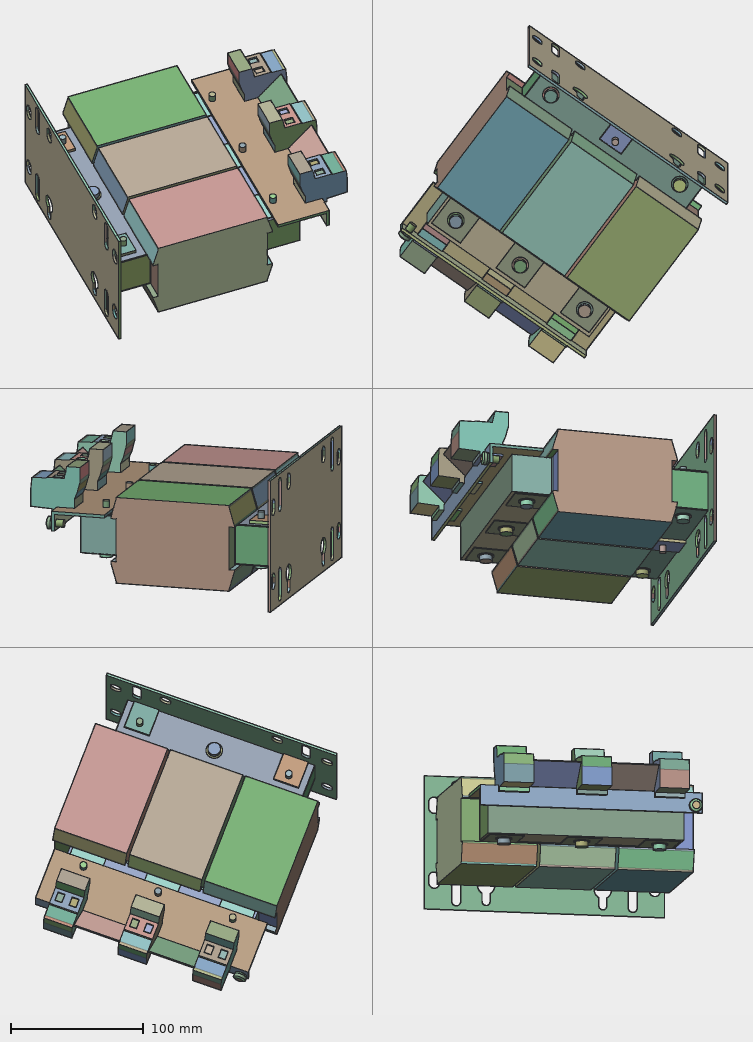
import cadquery as cq
import math


plate_length = 185.0
plate_height = 102.0
plate_thickness = 2.0

core_z = -4.5
yoke_length = 150.8
yoke_depth = 30.9
yoke_height = 29.9
rear_yoke_y = 124.0
phase_pitch = 60.0
phase_xs = (-phase_pitch, 0, phase_pitch)

insulation_thickness = 0.8
insulation_inset = 0.4
liner_thickness = 1.5
tongue_width = 26.8
tongue_end_y = 152.0

coil_width = 58.0
coil_pitch = 60.4
coil_front_y = 33.6
coil_rear_y = 122.7
coil_height = 66.6
flange_reach = 4.1
flange_clearance = 16.6
flange_lip = 1.4

tab_width = 20.1
tab_thickness = 2.3
tab_end_y = 23.5

bolt_front_y = 17.2
bolt_rear_y = 139.3
bolt_radius = 2.5
bolt_reach = 23.3
bolt_head_radius = 4.9
bolt_head_height = 4.0
bolt_washer_radius = 6.3
bolt_washer_thickness = 0.5

bracket_length = 171.2
bracket_thickness = 2.3
bracket_front_y = 133.0
bracket_rear_y = 174.9
bracket_lip_z = -1.8

terminal_width = 22.9
terminal_rear_y = 195.4
terminal_nose_y = 156.5
terminal_foot_y = 161.0
terminal_hook_y = 178.8
terminal_toe_y = 166.5
terminal_top_z = 45.5
terminal_ledge_z = 36.1
terminal_toe_z = 9.5
terminal_bottom_z = 8.8
pocket_offset = 5.7
pocket_width = 5.5
pocket_length = 6.8
pocket_y = 175.3
pocket_depth = 1.5

panel_front_y = 171.8
panel_rear_y = 191.5
panel_top_z = 31.3
panel_thickness = 1.2

earth_x = -80.0
earth_z = 3.3
earth_radius = 3.0
earth_tip_y = 166.5
earth_head_radius = 4.9
earth_washer_radius = 4.5
earth_washer_thickness = 1.4
earth_head_height = 2.5
earth_dome_height = 1.0
earth_dome_radius = 3.0

core_half = yoke_height / 2
insulated_half = core_half + insulation_thickness
insulated_top = core_z + insulated_half
bracket_top = insulated_top + bracket_thickness


def block(x_range, y_range, z_range):
    """Box from its limits along each axis."""
    (x0, x1), (y0, y1), (z0, z1) = x_range, y_range, z_range
    return cq.Workplane("XY").box(x1 - x0, y1 - y0, z1 - z0, centered=False).translate((x0, y0, z0))


def centred_block(x, width, y_range, z_range):
    """Box of the given width about x."""
    return block((x - width / 2, x + width / 2), y_range, z_range)


def extrude_along_x(profile, x, width):
    """Extrude a closed YZ profile symmetrically about x."""
    return profile.extrude(width / 2, both=True).translate((x, 0, 0))


def upright_cylinder(x, y, z_start, z_end, radius):
    return cq.Workplane("XY", origin=(x, y, z_start)).circle(radius).extrude(z_end - z_start)


def mounting_plate():
    plate = centred_block(0, plate_length, (0, plate_thickness), (-plate_height / 2, plate_height / 2))

    def upright_slots(centres, length, width):
        sketch = cq.Workplane("XZ").pushPoints(centres).slot2D(length, width, 90)
        return sketch.extrude(-plate_thickness)

    end_slot_x, end_slot_z = 85.0, 28.7
    long_slot_x, long_slot_z = 68.0, 34.8
    inner_x = 45.0
    inner_slot_z = 39.9
    keyhole_z = -31.5
    keyhole_radius = 6.6
    neck_width = 6.3
    neck_bottom_z = -46.7
    slot_length, slot_width = 12.5, 8.4
    long_slot_length, long_slot_width = 26.0, 7.0

    sides = (-1, 1)
    end_centres = [(i * end_slot_x, j * end_slot_z) for i in sides for j in sides]
    long_centres = [(i * long_slot_x, j * long_slot_z) for i in sides for j in sides]
    inner_centres = [(i * inner_x, inner_slot_z) for i in sides]
    keyhole_centres = [(i * inner_x, keyhole_z) for i in sides]
    neck_length = keyhole_z - neck_bottom_z
    neck_centres = [(i * inner_x, keyhole_z - neck_length / 2) for i in sides]

    plate = plate.cut(upright_slots(end_centres + inner_centres, slot_length, slot_width))
    plate = plate.cut(upright_slots(long_centres, long_slot_length, long_slot_width))
    plate = plate.cut(upright_slots(neck_centres, neck_length, neck_width))
    keyholes = cq.Workplane("XZ").pushPoints(keyhole_centres).circle(keyhole_radius)
    return plate.cut(keyholes.extrude(-plate_thickness))


def core():
    """Two yokes with their insulation; the core legs are inside the coils."""
    yoke_z = (core_z - core_half, core_z + core_half)
    insulation_z = (core_z - insulated_half, insulated_top)
    insulation_length = yoke_length - 2 * insulation_inset
    front_inner_y = plate_thickness + yoke_depth
    front_yoke = centred_block(0, yoke_length, (plate_thickness, front_inner_y), yoke_z)
    front_cover_y = (plate_thickness, front_inner_y + liner_thickness)
    front_cover = centred_block(0, insulation_length, front_cover_y, insulation_z)
    rear_yoke = centred_block(0, yoke_length, (rear_yoke_y, rear_yoke_y + yoke_depth), yoke_z)
    rear_liner_y = rear_yoke_y - liner_thickness
    rear_liner = centred_block(0, insulation_length, (rear_liner_y, rear_yoke_y), insulation_z)
    body = front_yoke.union(front_cover).union(rear_yoke).union(rear_liner)
    for x in phase_xs:
        body = body.union(centred_block(x, tongue_width, (rear_liner_y, tongue_end_y), insulation_z))
    return body


def coil(x):
    """Coil with flanges that lean outwards over the yokes, above and below the core."""
    half = coil_height / 2
    body = centred_block(x, coil_width, (coil_front_y, coil_rear_y), (core_z - half, core_z + half))
    front_tip = coil_front_y - flange_reach
    rear_tip = coil_rear_y + flange_reach
    for side in (-1, 1):
        edge_z = core_z + side * half
        lip_z = edge_z - side * flange_lip
        under_z = core_z + side * flange_clearance
        tip_z = under_z + side * flange_lip
        outline = [
            (coil_front_y, edge_z), (coil_front_y, lip_z), (front_tip, tip_z), (front_tip, under_z),
            (rear_tip, under_z), (rear_tip, tip_z), (coil_rear_y, lip_z), (coil_rear_y, edge_z),
        ]
        body = body.union(extrude_along_x(cq.Workplane("YZ").polyline(outline).close(), x, coil_width))
    return body


def fixing_tab(x, side):
    """Tab from the mounting plate along the top (side = 1) or bottom (side = -1) of the front yoke."""
    near = core_z + side * insulated_half
    far = near + side * tab_thickness
    return centred_block(x, tab_width, (0, tab_end_y), (min(near, far), max(near, far)))


def core_bolt(x, y, side):
    """Bolt through a yoke: its tip is above for side = 1 and below for side = -1."""
    seat = core_z - side * insulated_half
    washer_face = seat - side * bolt_washer_thickness
    head_face = washer_face - side * bolt_head_height
    shank = upright_cylinder(x, y, core_z, core_z + side * bolt_reach, bolt_radius)
    washer = upright_cylinder(x, y, core_z, washer_face, bolt_washer_radius)
    head = upright_cylinder(x, y, core_z, head_face, bolt_head_radius)
    return shank.union(washer).union(head)


def terminal_bracket():
    shelf_y = (bracket_front_y, bracket_rear_y)
    shelf = centred_block(0, bracket_length, shelf_y, (insulated_top, bracket_top))
    lip_y = (bracket_rear_y - bracket_thickness, bracket_rear_y)
    return shelf.union(centred_block(0, bracket_length, lip_y, (bracket_lip_z, bracket_top)))


def terminal_block(x):
    profile = (
        cq.Workplane("YZ")
        .moveTo(terminal_foot_y, terminal_toe_z)
        .lineTo(terminal_foot_y, 20.5)
        .lineTo(158.9, 25.5)
        .lineTo(157.3, 31.7)
        .threePointArc((156.7, 33.5), (terminal_nose_y, 35.4))
        .lineTo(terminal_nose_y, terminal_top_z)
        .lineTo(167.0, terminal_top_z)
        .lineTo(169.2, terminal_ledge_z)
        .lineTo(182.5, terminal_ledge_z)
        .lineTo(183.3, 35.5)
        .lineTo(192.5, 35.4)
        .lineTo(194.6, 35.0)
        .lineTo(terminal_rear_y, 26.8)
        .lineTo(terminal_rear_y, 12.7)
        .lineTo(terminal_hook_y, 12.0)
        .lineTo(terminal_hook_y, terminal_bottom_z)
        .lineTo(terminal_toe_y, terminal_bottom_z)
        .lineTo(terminal_toe_y, terminal_toe_z)
        .close()
    )
    body = extrude_along_x(profile, x, terminal_width)
    pocket_y_range = (pocket_y - pocket_length / 2, pocket_y + pocket_length / 2)
    for side in (-1, 1):
        pocket_z = (terminal_ledge_z - pocket_depth, terminal_ledge_z)
        body = body.cut(centred_block(x + side * pocket_offset, pocket_width, pocket_y_range, pocket_z))
    return body


def sloping_panel():
    """Thin sheet that rises backwards from the shelf and joins the three terminal blocks."""
    slope = math.atan2(panel_top_z - bracket_top, panel_rear_y - panel_front_y)
    shift_y = panel_thickness * math.sin(slope)
    shift_z = panel_thickness * math.cos(slope)
    outline = [
        (panel_front_y, bracket_top),
        (panel_rear_y - shift_y, panel_top_z),
        (panel_rear_y, panel_top_z - shift_z),
        (panel_front_y + shift_y, bracket_top - shift_z),
    ]
    return extrude_along_x(cq.Workplane("YZ").polyline(outline).close(), 0, 2 * phase_pitch)


def earth_screw():
    """Domed screw through the bracket lip, turned about its own axis along Y."""
    head_y = bracket_rear_y + earth_washer_thickness
    dome_y = head_y + earth_head_height
    end_y = dome_y + earth_dome_height
    profile = (
        cq.Workplane("XY")
        .moveTo(0, earth_tip_y)
        .lineTo(earth_radius, earth_tip_y)
        .lineTo(earth_radius, bracket_rear_y)
        .lineTo(earth_washer_radius, bracket_rear_y)
        .lineTo(earth_washer_radius, head_y)
        .lineTo(earth_head_radius, head_y)
        .lineTo(earth_head_radius, dome_y)
        .lineTo(earth_dome_radius, end_y)
        .lineTo(0, end_y)
        .close()
    )
    return profile.revolve(360, (0, 0, 0), (0, 1, 0)).translate((earth_x, 0, earth_z))


result = mounting_plate().union(core()).union(terminal_bracket()).union(sloping_panel()).union(earth_screw())
for phase in (-1, 0, 1):
    phase_x = phase * phase_pitch
    front_side = -1 if phase == 0 else 1
    result = result.union(coil(phase * coil_pitch))
    result = result.union(fixing_tab(phase_x, front_side))
    result = result.union(core_bolt(phase_x, bolt_front_y, front_side))
    result = result.union(core_bolt(phase_x, bolt_rear_y, 1))
    result = result.union(terminal_block(phase_x))